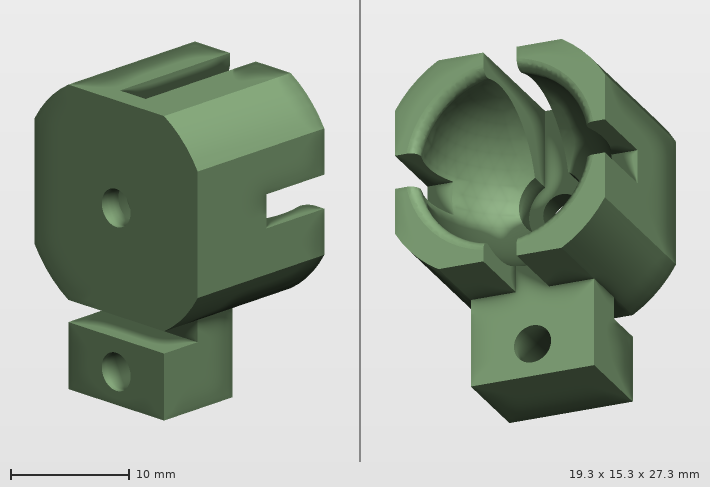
import cadquery as cq
import math

body_width = 19.3
body_length = 15.25
body_round_diameter = 22.39
half_width = body_width / 2
flat_width = 2 * math.sqrt((body_round_diameter / 2) ** 2 - half_width ** 2)

ball_radius = 8.2
ball_center_y = body_length - 3.47
mouth_fillet = 0.9

front_wall = 2.0

slot_width = 3.05
slot_depth = 7.0

overall_height = 27.3
tab_drop = overall_height - body_width
tab_back_y = body_length - slot_depth
tab_bottom_z = -half_width - tab_drop
notch_height = 2.0
notch_depth = 4.0

hole_diameter = 3.4
tab_hole_z = -14.7
head_bore_diameter = 6.0


def box(x_range, y_range, z_range):
    """Axis-aligned box between the given limits."""
    size = [high - low for low, high in (x_range, y_range, z_range)]
    corner = (x_range[0], y_range[0], z_range[0])
    return cq.Workplane("XY").box(*size, centered=False).translate(corner)


def cylinder_along_y(diameter, start_y, end_y, z=0):
    """Cylinder parallel to the Y axis between two Y positions."""
    profile = cq.Workplane("XZ", origin=(0, start_y, z)).circle(diameter / 2)
    return profile.extrude(start_y - end_y)


def make_body():
    """Rounded block with the ball cavity and its filleted mouth."""
    side = (-half_width, half_width)
    block = box(side, (0, body_length), side)
    rounded = block.intersect(cylinder_along_y(body_round_diameter, 0, body_length))
    ball = cq.Workplane("XY").sphere(ball_radius).translate((0, ball_center_y, 0))
    socket = rounded.cut(ball)
    smallest_circle = cq.selectors.RadiusNthSelector(0)
    mouth = socket.faces(">Y").edges("%CIRCLE").edges(smallest_circle)
    return mouth.fillet(mouth_fillet)


def make_tab():
    """Tab as wide as the body flat, notched beneath the front of the body."""
    half_tab = flat_width / 2
    sides = (-half_tab, half_tab)
    tab = box(sides, (0, tab_back_y), (tab_bottom_z, -half_width))
    notch = box(sides, (0, notch_depth), (-half_width - notch_height, -half_width))
    return tab.cut(notch)


def make_slots():
    """One long slot from the top, and shorter ones on the other three sides."""
    across = (-slot_width / 2, slot_width / 2)
    full = (-half_width, half_width)
    short = (body_length - slot_depth, body_length)
    top_slot = box(across, (front_wall, body_length), (0, half_width))
    bottom_slot = box(across, short, (-half_width, 0))
    side_slots = box(full, short, across)
    return top_slot.union(bottom_slot).union(side_slots)


def make_screw_holes():
    """Axial hole with its screw head bore, and the hole through the tab."""
    axial_hole = cylinder_along_y(hole_diameter, 0, ball_center_y)
    head_bore = cylinder_along_y(head_bore_diameter, front_wall, ball_center_y)
    tab_hole = cylinder_along_y(hole_diameter, 0, tab_back_y, tab_hole_z)
    return axial_hole.union(head_bore).union(tab_hole)


result = make_body().cut(make_slots()).union(make_tab()).cut(make_screw_holes())